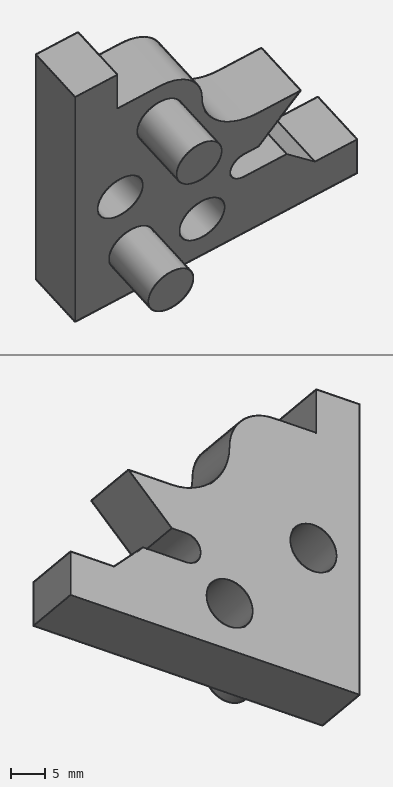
import cadquery as cq
import math

side = 50.0
thickness = 10.0
step = 7.5
peg_diameter = 8.0
peg_length = 10.0
hole_diameter = 8.0

shoulder_radius = 7.5
shoulder_y = 15.0
shoulder_z = 35.0
hollow_radius = 10.0

slot_radius = 2.5
slot_end_y = 30.0
slot_z = 15.0
slot_upper_mouth_y = 32.5
toe_ramp = 5.0

hole_near = 8.0
hole_far = 22.5
hole_centres = [(hole_near, hole_far), (hole_far, hole_near)]
peg_centres = [(15.0, 35.0), (10.0, 10.0)]

diagonal = math.sqrt(0.5)
slot_floor_z = slot_z - slot_radius
slot_roof_z = slot_z + slot_radius
shoulder_top_z = shoulder_z + shoulder_radius
shoulder_edge_y = shoulder_y + shoulder_radius
hollow_y = shoulder_edge_y + hollow_radius
beak_z = shoulder_z - hollow_radius
beak_tip_y = slot_upper_mouth_y + (beak_z - slot_roof_z)


def make_plate():
    """Profile in the YZ plane, extruded along +X."""
    return (
        cq.Workplane("YZ")
        .moveTo(0, 0)
        .lineTo(side, 0)
        .lineTo(side, step)
        .lineTo(side - step, step)
        .lineTo(side - step - toe_ramp, slot_floor_z)
        .lineTo(slot_end_y, slot_floor_z)
        .threePointArc((slot_end_y - slot_radius, slot_z), (slot_end_y, slot_roof_z))
        .lineTo(slot_upper_mouth_y, slot_roof_z)
        .lineTo(beak_tip_y, beak_z)
        .lineTo(hollow_y, beak_z)
        .threePointArc(
            (hollow_y - hollow_radius * diagonal, shoulder_z - hollow_radius * diagonal),
            (shoulder_edge_y, shoulder_z),
        )
        .threePointArc(
            (shoulder_y + shoulder_radius * diagonal, shoulder_z + shoulder_radius * diagonal),
            (shoulder_y, shoulder_top_z),
        )
        .lineTo(step, shoulder_top_z)
        .lineTo(step, side)
        .lineTo(0, side)
        .close()
        .extrude(thickness)
    )


def make_holes():
    """Cylinders that cut right through the plate."""
    return cq.Workplane("YZ").pushPoints(hole_centres).circle(hole_diameter / 2).extrude(thickness)


def make_pegs():
    """Round pegs standing on the +X face of the plate."""
    return (
        cq.Workplane("YZ", origin=(thickness, 0, 0))
        .pushPoints(peg_centres)
        .circle(peg_diameter / 2)
        .extrude(peg_length)
    )


result = make_plate().cut(make_holes()).union(make_pegs())